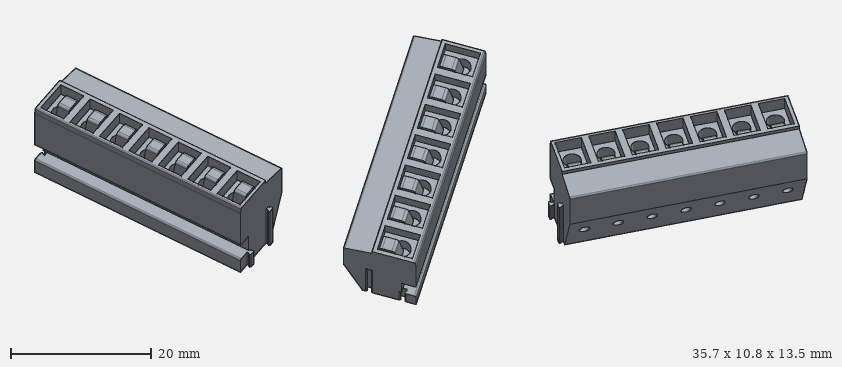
import cadquery as cq
import math


pole_count = 7
pitch = 5.0
first_pole_x = 2.55
housing_length = pole_count * pitch
depth = 10.8
height = 13.5
base_back_y = 7.95
back_knee_z = 6.95
back_top_z = 12.2
step_y = 6.57
step_bottom_z = 12.92
back_top_radius = 0.25
front_bevel_depth = 0.18
front_bevel_height = 0.93
front_top_radius = 0.2
front_bevel_radius = 0.55

slot_depth = 2.15
slot_floor_z = 2.68
slot_ceiling_z = 5.68
slot_ceiling_radius = 0.32
slot_floor_radius = 0.25
through_hole_diameter = 1.5
through_hole_z = 4.18

pocket_width = 3.9
pocket_front_y = 0.7
pocket_back_y = 5.93
pocket_depth = 2.0
pocket_floor_z = height - pocket_depth
screw_hole_diameter = 2.6
screw_hole_y = 2.9
screw_hole_depth = 2.5
screw_hole_floor_z = pocket_floor_z - screw_hole_depth

clip_width = 1.95
clip_height = 0.5
clip_top_z = pocket_floor_z + clip_height
clip_toe_y = 2.9
clip_face_angle = 75.0
clip_front_radius = 0.5
clip_back_radius = 0.6
clip_flat_back_y = 5.5

rail_length = 0.7
neck_length = 0.2
shoulder_length = 0.57
neck_half_width = 0.305
shoulder_half_width = 0.5
tip_half_width = 0.4
mouth_half_width = 0.5
mouth_bevel_depth = 0.15
dovetails = [
    (2.05, slot_floor_z),
    (7.0, 7.25),
]


def side_profile(points):
    """Start a closed outline in the YZ plane."""
    return cq.Workplane("YZ").polyline(points).close()


def fillet_along_x(body, y, z, radius):
    """Round the full-length edge that runs along X through (y, z)."""
    near = 0.005
    edge_box = cq.selectors.BoxSelector(
        (-near, y - near, z - near),
        (housing_length + near, y + near, z + near),
    )
    return body.edges(edge_box).fillet(radius)


def make_housing():
    body = side_profile([
        (0, 0),
        (base_back_y, 0),
        (depth, back_knee_z),
        (depth, back_top_z),
        (step_y, step_bottom_z),
        (step_y, height),
        (front_bevel_depth, height),
        (0, height - front_bevel_height),
        (0, slot_ceiling_z),
        (slot_depth, slot_ceiling_z),
        (slot_depth, slot_floor_z),
        (0, slot_floor_z),
    ]).extrude(housing_length)
    body = fillet_along_x(body, depth, back_top_z, back_top_radius)
    body = fillet_along_x(body, front_bevel_depth, height, front_top_radius)
    body = fillet_along_x(body, 0, height - front_bevel_height, front_bevel_radius)
    body = fillet_along_x(body, 0, slot_ceiling_z, slot_ceiling_radius)
    return fillet_along_x(body, 0, slot_floor_z, slot_floor_radius)


def make_pocket(x):
    pocket_length = pocket_back_y - pocket_front_y
    pocket = (
        cq.Workplane("XY", origin=(x, pocket_front_y + pocket_length / 2, pocket_floor_z))
        .rect(pocket_width, pocket_length)
        .extrude(pocket_depth)
    )
    screw_hole = (
        cq.Workplane("XY", origin=(x, screw_hole_y, screw_hole_floor_z))
        .circle(screw_hole_diameter / 2)
        .extrude(screw_hole_depth)
    )
    return pocket.union(screw_hole)


def make_clip(x):
    face_rise = clip_top_z - screw_hole_floor_z
    top_front_y = clip_toe_y + face_rise / math.tan(math.radians(clip_face_angle))
    back_y = clip_flat_back_y + clip_back_radius
    return (
        side_profile([
            (clip_toe_y, screw_hole_floor_z),
            (top_front_y, clip_top_z),
            (back_y, clip_top_z),
            (back_y, screw_hole_floor_z),
        ])
        .extrude(clip_width)
        .faces(">Z").edges("<Y").fillet(clip_front_radius)
        .faces(">Z").edges(">Y").fillet(clip_back_radius)
        .translate((x - clip_width / 2, 0, 0))
    )


def make_through_hole(x):
    return (
        cq.Workplane("XZ", origin=(x, 0, through_hole_z))
        .circle(through_hole_diameter / 2)
        .extrude(-depth)
    )


def make_dovetail(x, centre_y, top_z, half_outline):
    """Extrude an outline of (reach, half width) points, mirrored about its centre line."""
    mirrored = [(reach, -half_width) for reach, half_width in reversed(half_outline)]
    return (
        cq.Workplane("XY", origin=(x, centre_y, 0))
        .polyline(half_outline + mirrored).close()
        .extrude(top_z)
    )


rail_outline = [
    (0, neck_half_width),
    (neck_length, neck_half_width),
    (shoulder_length, shoulder_half_width),
    (rail_length, tip_half_width),
]
groove_outline = [
    (0, mouth_half_width),
    (mouth_bevel_depth, neck_half_width),
    (neck_length, neck_half_width),
    (shoulder_length, shoulder_half_width),
    (rail_length, shoulder_half_width),
]

result = make_housing()

for pole in range(pole_count):
    pole_x = first_pole_x + pole * pitch
    result = result.cut(make_pocket(pole_x))
    result = result.union(make_clip(pole_x))
    result = result.cut(make_through_hole(pole_x))

for dovetail_y, dovetail_height in dovetails:
    groove = make_dovetail(0, dovetail_y, dovetail_height, groove_outline)
    rail = make_dovetail(housing_length, dovetail_y, dovetail_height, rail_outline)
    result = result.cut(groove).union(rail)